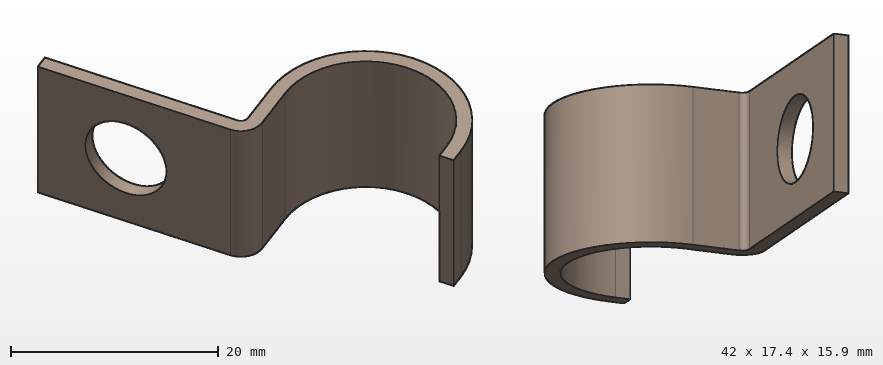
import cadquery as cq

overall_length = 42.0
overall_depth = 17.4
strap_width = 15.88
thickness = 1.54
loop_outer_radius = 10.25
free_leg_length = 1.55
bend_inner_radius = 0.77
hole_diameter = 8.73
hole_from_end = 9.5

loop_inner_radius = loop_outer_radius - thickness
bend_outer_radius = bend_inner_radius + thickness

pad_back_y = loop_outer_radius - overall_depth
pad_front_y = pad_back_y + thickness
pad_end_x = loop_outer_radius - overall_length
bend_center_x = -loop_outer_radius - bend_inner_radius
bend_center_y = pad_front_y + bend_inner_radius


def make_strap():
    """Bent strip: flat pad, rounded bend, straight leg, half-round loop, short free leg."""
    return (
        cq.Workplane("XY")
        .moveTo(pad_end_x, pad_back_y)
        .lineTo(bend_center_x, pad_back_y)
        .radiusArc((-loop_inner_radius, bend_center_y), -bend_outer_radius)
        .lineTo(-loop_inner_radius, 0)
        .threePointArc((0, loop_inner_radius), (loop_inner_radius, 0))
        .lineTo(loop_inner_radius, -free_leg_length)
        .lineTo(loop_outer_radius, -free_leg_length)
        .lineTo(loop_outer_radius, 0)
        .threePointArc((0, loop_outer_radius), (-loop_outer_radius, 0))
        .lineTo(-loop_outer_radius, bend_center_y)
        .radiusArc((bend_center_x, pad_front_y), bend_inner_radius)
        .lineTo(pad_end_x, pad_front_y)
        .close()
        .extrude(strap_width)
    )


def make_hole():
    """Round cutter through the pad thickness, centred across the strap width."""
    return (
        cq.Workplane("XZ", origin=(pad_end_x + hole_from_end, pad_front_y, strap_width / 2))
        .circle(hole_diameter / 2)
        .extrude(thickness)
    )


result = make_strap().cut(make_hole())